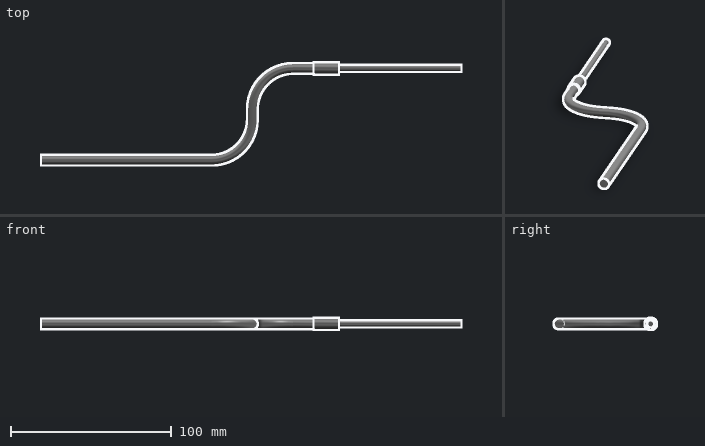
import cadquery as cq

overall_length = 261.77

rod_diameter = 6.86
collar_diameter = 7.9375
pin_diameter = 4.7625

bend_radius = 25.4
bend_straight = 6.35

neck_length = 12.7
collar_length = 15.875
pin_length = 76.2
tip_chamfer = 0.13

offset_y = 2 * bend_radius + bend_straight
pin_end_x = overall_length
collar_end_x = pin_end_x - pin_length
collar_start_x = collar_end_x - collar_length
second_bend_end_x = collar_start_x - neck_length
middle_x = second_bend_end_x - bend_radius
first_bend_start_x = middle_x - bend_radius


def bent_rod():
    """Round rod swept along the flat S-shaped centreline, up to the collar."""
    centreline = (
        cq.Workplane("XY")
        .lineTo(first_bend_start_x, 0)
        .tangentArcPoint((middle_x, bend_radius), relative=False)
        .lineTo(middle_x, bend_radius + bend_straight)
        .tangentArcPoint((second_bend_end_x, offset_y), relative=False)
        .lineTo(collar_start_x, offset_y)
    )
    return cq.Workplane("YZ").circle(rod_diameter / 2).sweep(centreline)


def cylinder_along_x(start_x, length, diameter):
    """Cylinder on the axis of the upper straight."""
    plane = cq.Plane(origin=(start_x, offset_y, 0), xDir=(0, 1, 0), normal=(1, 0, 0))
    return cq.Workplane(plane).circle(diameter / 2).extrude(length)


def collar():
    """Enlarged collar between the rod and the pin."""
    return cylinder_along_x(collar_start_x, collar_length, collar_diameter)


def pin():
    """Slender pin with a chamfered tip."""
    return cylinder_along_x(collar_end_x, pin_length, pin_diameter).faces(">X").chamfer(tip_chamfer)


result = bent_rod().union(collar()).union(pin())